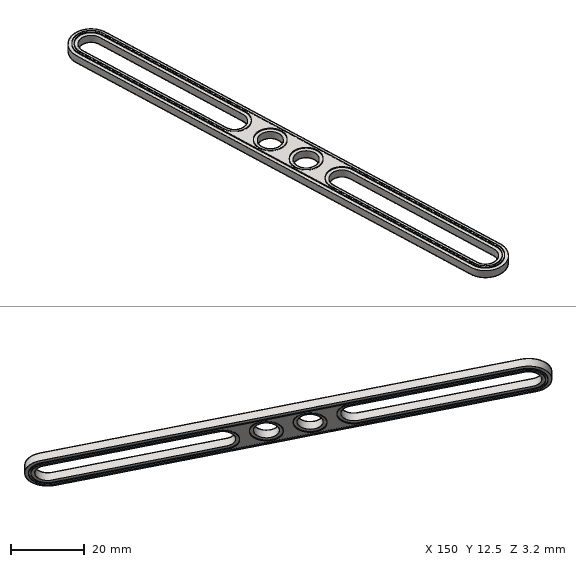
import cadquery as cq

length = 150.0
thickness = 3.2
pitch = length / 12
opening_width = 7.0
recess_width = 9.2
step_depth = 0.3

ledge_width = (recess_width - opening_width) / 2
bar_width = pitch
hole_center = pitch / 2
slot_inner_center = hole_center + pitch
slot_outer_center = (length - bar_width) / 2
slot_center = (slot_inner_center + slot_outer_center) / 2
slot_center_span = slot_outer_center - slot_inner_center


def mid_plane_base(height):
    """Workplane at the underside of a body of this height centred on Z = 0."""
    return cq.Workplane("XY").workplane(offset=-height / 2)


def round_ended_bar(total_length, width, height):
    """Round-ended bar along X, centred on the origin."""
    return mid_plane_base(height).slot2D(total_length, width).extrude(height)


def openings(width, height):
    """Two holes and two slots of the given width, centred on the origin."""
    base = mid_plane_base(height)
    holes = base.pushPoints([(-hole_center, 0), (hole_center, 0)]).circle(width / 2).extrude(height)
    slots = (
        base.pushPoints([(-slot_center, 0), (slot_center, 0)])
        .slot2D(slot_center_span + width, width)
        .extrude(height)
    )
    return holes.union(slots)


core_thickness = thickness - 2 * step_depth
core = round_ended_bar(length, bar_width, core_thickness)

inset = 2 * ledge_width
faces = round_ended_bar(length - inset, bar_width - inset, thickness)
faces = faces.cut(openings(recess_width, thickness))

result = core.union(faces).cut(openings(opening_width, thickness))